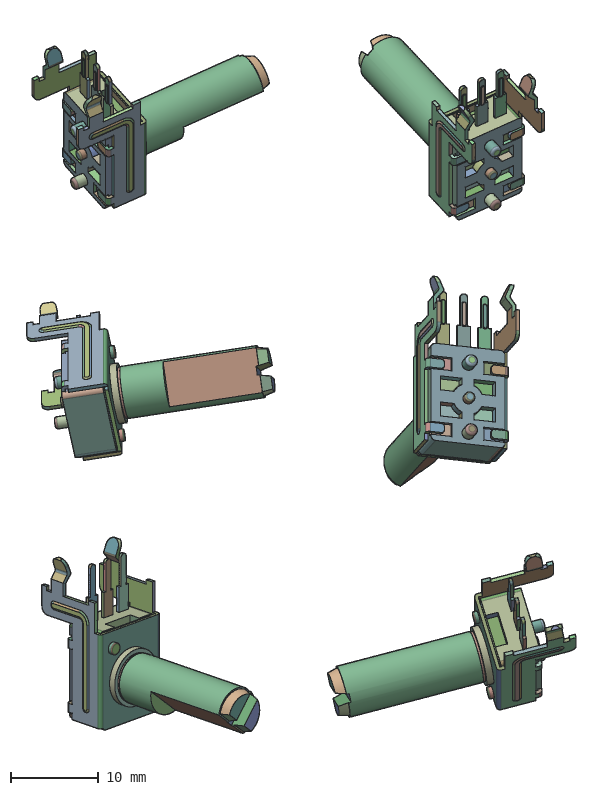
import cadquery as cq


SHEET = 0.45
BRACKET_HALF_WIDTH = 4.93
BRACKET_INNER_X = BRACKET_HALF_WIDTH - SHEET
PLATE_TOP = 6.27
PLATE_BOTTOM = -5.48
PLATE_CORNER = 0.27
SIDE_BOTTOM = PLATE_BOTTOM + PLATE_CORNER
SIDE_REAR_Y = -4.55
WING_FRONT_Y = -0.93
WING_REAR_Y = -9.35
WING_BOTTOM = 6.5
WING_SHOULDER = 9.45
WING_TOP = 9.97
WING_CORNER_RADIUS = 0.93
FRONT_LUG_LENGTH = 1.01
REAR_LUG_LENGTH = 0.75

LEG_WIDTH = 1.92
LEG_CENTER_Y = -6.9
LEG_TOP = 13.8
LEG_KINK_OUTSIDE = (4.22, 12.0)
LEG_KINK_INSIDE = (3.62, 11.92)
LEG_KINK_OUTSIDE_ROUND = 0.38
LEG_KINK_INSIDE_ROUND = 0.27
LEG_SIDE_PROFILE = [
    (BRACKET_HALF_WIDTH, WING_BOTTOM + WING_CORNER_RADIUS),
    (BRACKET_HALF_WIDTH, 11.07),
    LEG_KINK_OUTSIDE,
    (4.85, 13.65),
    (4.45, LEG_TOP),
    LEG_KINK_INSIDE,
    (BRACKET_INNER_X, 10.9),
    (BRACKET_INNER_X, WING_BOTTOM + WING_CORNER_RADIUS),
]

RIB_HEIGHT = 0.15
RIB_BASE_HALF_WIDTH = 0.52
RIB_CREST_HALF_WIDTH = 0.27
RIB_Y = -2.33
RIB_LOW_Z = -3.23
RIB_Z = 7.97
RIB_END_Y = -7.37
RIB_BEND_RADIUS = 1.0

BODY_HALF_WIDTH = 4.45
BODY_TOP = 6.33
BODY_BOTTOM = PLATE_BOTTOM
BODY_FRONT_Y = -0.6
BODY_REAR_Y = -5.4
BODY_CORNER_RADIUS = 0.58
SPACER_INSET = 0.1
SPACER_CORNER_RADIUS = 1.1
NOTCH_WIDTH = 4.05
NOTCH_LENGTH = 1.45
NOTCH_DEPTH = 1.1

TAB_HEIGHT = 1.1
TAB_INNER_X = 2.82
TAB_CORNER_RADIUS = 0.33
TAB_CENTERS_Z = (3.92, -3.9)
RECESS_HEIGHT = 1.55
RECESS_INNER_X = 1.9
RECESS_CENTERS_Z = (4.0, -4.0)

POCKET_INNER_X = 0.75
POCKET_OUTER_X = 3.25
POCKET_INNER_Z = 0.75
POCKET_OUTER_Z = 2.45
POCKET_DEPTH = 1.0
HUB_RADIUS = 1.84

LOCATING_PIN_Z = 4.2
LOCATING_PIN_RADIUS = 0.7
LOCATING_PIN_LENGTH = 1.55
LOCATING_PIN_ROUND = 0.33
CENTER_PIN_RADIUS = 0.6
CENTER_PIN_LENGTH = 0.85
CENTER_PIN_ROUND = 0.2
RIVET_X = 2.95
RIVET_Z = 4.22
RIVET_RADIUS = 0.7
RIVET_HEIGHT = 0.55
RIVET_ROUND = 0.1

TERMINAL_PITCH = 2.5
TERMINAL_FRONT_Y = -3.53
TERMINAL_THICKNESS = 0.38
TERMINAL_ROOT_WIDTH = 1.53
TERMINAL_TIP_WIDTH = 0.82
TERMINAL_SHOULDER_Z = 9.43
TERMINAL_TOP_Z = 13.3
TERMINAL_TIP_ROUND = 0.35
TERMINAL_BEAD_WIDTH = 0.52
TERMINAL_BEAD_BOTTOM = 9.32
TERMINAL_BEAD_TOP = 12.33
TERMINAL_BEAD_HEIGHT = 0.08
TERMINAL_BEAD_CHAMFER = 0.068

COLLAR_RADIUS = 3.45
COLLAR_LENGTH = 0.82
NECK_RADIUS = 2.95
SHAFT_RADIUS = 3.01
SHAFT_START_Y = 1.1
OVERALL_LENGTH = 27.4
SHAFT_TIP_Y = WING_REAR_Y + OVERALL_LENGTH
CONE_LENGTH = 1.18
CONE_BASE_RADIUS = 2.82
CONE_TIP_RADIUS = 2.52
FLAT_START_Y = 6.1
FLAT_DISTANCE = SHAFT_RADIUS / 2
SLOT_FLOOR_WIDTH = 1.0
SLOT_MOUTH_WIDTH = 1.6
SLOT_DEPTH = 1.48
FLAT_ANGLE = 50


def box(x_range, y_range, z_range):
    """Box between two limits on each axis."""
    (x0, x1), (y0, y1), (z0, z1) = x_range, y_range, z_range
    return cq.Workplane("XY").box(x1 - x0, y1 - y0, z1 - z0, centered=False).translate((x0, y0, z0))


def rod(radius, y_start, y_end, x=0, z=0):
    """Cylinder along Y."""
    disc = cq.Workplane("XZ", origin=(x, y_start, z)).circle(radius)
    return disc.extrude(y_start - y_end)


def both_sides(solid):
    """The +X solid together with its mirror image at -X."""
    return solid.union(solid.mirror("YZ"))


def bracket_shell():
    """Front plate with its two bent side sheets, each carrying a wing."""
    half_plate = (
        cq.Workplane("XZ")
        .moveTo(0, PLATE_BOTTOM)
        .lineTo(BRACKET_INNER_X - PLATE_CORNER, PLATE_BOTTOM)
        .lineTo(BRACKET_INNER_X, SIDE_BOTTOM)
        .lineTo(BRACKET_HALF_WIDTH, SIDE_BOTTOM)
        .lineTo(BRACKET_HALF_WIDTH, PLATE_TOP)
        .lineTo(0, PLATE_TOP)
        .close()
        .extrude(SHEET)
    )
    side = (
        cq.Workplane("YZ", origin=(BRACKET_INNER_X, 0, 0))
        .moveTo(0, SIDE_BOTTOM)
        .lineTo(0, PLATE_TOP)
        .lineTo(WING_FRONT_Y, PLATE_TOP)
        .lineTo(WING_FRONT_Y, WING_TOP)
        .lineTo(WING_FRONT_Y - FRONT_LUG_LENGTH, WING_TOP)
        .lineTo(WING_FRONT_Y - FRONT_LUG_LENGTH, WING_SHOULDER)
        .lineTo(WING_REAR_Y + REAR_LUG_LENGTH, WING_SHOULDER)
        .lineTo(WING_REAR_Y + REAR_LUG_LENGTH, WING_TOP)
        .lineTo(WING_REAR_Y, WING_TOP)
        .lineTo(WING_REAR_Y, WING_BOTTOM + WING_CORNER_RADIUS)
        .radiusArc((WING_REAR_Y + WING_CORNER_RADIUS, WING_BOTTOM), -WING_CORNER_RADIUS)
        .lineTo(SIDE_REAR_Y, WING_BOTTOM)
        .lineTo(SIDE_REAR_Y, SIDE_BOTTOM)
        .close()
        .extrude(SHEET)
    )
    bend_x = BRACKET_HALF_WIDTH - SHEET / 2
    bend_edge = cq.selectors.BoxSelector(
        (bend_x, -SHEET / 2, SIDE_BOTTOM), (bend_x + SHEET, SHEET / 2, PLATE_TOP)
    )
    half = half_plate.union(side).edges("|Z").edges(bend_edge).fillet(SHEET)
    return both_sides(half)


def snap_legs():
    """Kinked legs with rounded tips above the wings."""
    strip = (
        cq.Workplane("XZ", origin=(0, LEG_CENTER_Y + LEG_WIDTH / 2, 0))
        .polyline(LEG_SIDE_PROFILE)
        .close()
        .extrude(LEG_WIDTH)
    )
    for (x, z), radius in (
        (LEG_KINK_OUTSIDE, LEG_KINK_OUTSIDE_ROUND),
        (LEG_KINK_INSIDE, LEG_KINK_INSIDE_ROUND),
    ):
        kink_edge = cq.selectors.NearestToPointSelector((x, LEG_CENTER_Y, z))
        strip = strip.edges("|Y").edges(kink_edge).fillet(radius)
    half_width = LEG_WIDTH / 2
    rounded_outline = (
        cq.Workplane("YZ")
        .moveTo(LEG_CENTER_Y - half_width, 0)
        .lineTo(LEG_CENTER_Y - half_width, LEG_TOP - half_width)
        .threePointArc((LEG_CENTER_Y, LEG_TOP), (LEG_CENTER_Y + half_width, LEG_TOP - half_width))
        .lineTo(LEG_CENTER_Y + half_width, 0)
        .close()
        .extrude(BRACKET_HALF_WIDTH)
    )
    return both_sides(strip.intersect(rounded_outline))


def side_ribs():
    """Embossed L-shaped ribs with sloping flanks."""
    bend_y = RIB_Y - RIB_BEND_RADIUS
    bend_z = RIB_Z - RIB_BEND_RADIUS

    def outline(plane, half_width):
        outer = RIB_BEND_RADIUS + half_width
        inner = RIB_BEND_RADIUS - half_width
        return (
            plane.moveTo(RIB_Y + half_width, RIB_LOW_Z)
            .lineTo(RIB_Y + half_width, bend_z)
            .radiusArc((bend_y, RIB_Z + half_width), -outer)
            .lineTo(RIB_END_Y, RIB_Z + half_width)
            .threePointArc((RIB_END_Y - half_width, RIB_Z), (RIB_END_Y, RIB_Z - half_width))
            .lineTo(bend_y, RIB_Z - half_width)
            .radiusArc((RIB_Y - half_width, bend_z), inner)
            .lineTo(RIB_Y - half_width, RIB_LOW_Z)
            .threePointArc((RIB_Y, RIB_LOW_Z - half_width), (RIB_Y + half_width, RIB_LOW_Z))
            .close()
        )

    base = outline(cq.Workplane("YZ", origin=(BRACKET_HALF_WIDTH, 0, 0)), RIB_BASE_HALF_WIDTH)
    rib = outline(base.workplane(offset=RIB_HEIGHT), RIB_CREST_HALF_WIDTH).loft(ruled=True)
    return both_sides(rib)


def folded_tabs():
    """Tabs that leave the side sheets and fold inward over the rear of the body."""
    tabs = cq.Workplane("XY")
    for center_z in TAB_CENTERS_Z:
        z_range = (center_z - TAB_HEIGHT / 2, center_z + TAB_HEIGHT / 2)
        arm = box((BRACKET_INNER_X, BRACKET_HALF_WIDTH), (BODY_REAR_Y, SIDE_REAR_Y), z_range)
        fold = box((TAB_INNER_X, BRACKET_HALF_WIDTH), (BODY_REAR_Y, BODY_REAR_Y + SHEET), z_range)
        fold = fold.edges("|Y and <X").fillet(TAB_CORNER_RADIUS)
        tab = arm.union(fold).edges("|Z and >X and <Y").fillet(SHEET)
        tabs = tabs.union(tab)
    return both_sides(tabs)


def rear_pocket():
    """Pocket in the +X +Z quadrant, cut short by the round hub."""
    pocket = box(
        (POCKET_INNER_X, POCKET_OUTER_X),
        (BODY_REAR_Y, BODY_REAR_Y + POCKET_DEPTH),
        (POCKET_INNER_Z, POCKET_OUTER_Z),
    )
    return pocket.cut(rod(HUB_RADIUS, BODY_REAR_Y, BODY_REAR_Y + POCKET_DEPTH))


def body():
    """Moulded body with spacer step, top notch, tab recesses and rear pockets."""
    block = box(
        (-BODY_HALF_WIDTH, BODY_HALF_WIDTH), (BODY_REAR_Y, BODY_FRONT_Y), (BODY_BOTTOM, BODY_TOP)
    )
    block = block.edges("|Y").fillet(BODY_CORNER_RADIUS)
    notch = box(
        (-NOTCH_WIDTH / 2, NOTCH_WIDTH / 2),
        (BODY_FRONT_Y - NOTCH_LENGTH, BODY_FRONT_Y),
        (BODY_TOP - NOTCH_DEPTH, BODY_TOP),
    )
    recesses = cq.Workplane("XY")
    for center_z in RECESS_CENTERS_Z:
        recesses = recesses.union(box(
            (RECESS_INNER_X, BODY_HALF_WIDTH),
            (BODY_REAR_Y, BODY_REAR_Y + SHEET),
            (center_z - RECESS_HEIGHT / 2, center_z + RECESS_HEIGHT / 2),
        ))
    upper_pockets = both_sides(rear_pocket())
    block = block.cut(notch).cut(both_sides(recesses))
    block = block.cut(upper_pockets).cut(upper_pockets.mirror("XY"))

    spacer_half_width = BODY_HALF_WIDTH - SPACER_INSET
    spacer = box(
        (-spacer_half_width, spacer_half_width),
        (BODY_FRONT_Y, -SHEET),
        (BODY_BOTTOM + SPACER_INSET, BODY_TOP - SPACER_INSET),
    )
    spacer = spacer.edges("|Y").fillet(SPACER_CORNER_RADIUS)
    return block.union(spacer)


def rear_pins():
    """Two locating pins and the short centre pin, all with rounded tips."""
    pins = rod(CENTER_PIN_RADIUS, BODY_REAR_Y, BODY_REAR_Y - CENTER_PIN_LENGTH)
    pins = pins.faces("<Y").edges().fillet(CENTER_PIN_ROUND)
    for z in (LOCATING_PIN_Z, -LOCATING_PIN_Z):
        pin = rod(LOCATING_PIN_RADIUS, BODY_REAR_Y, BODY_REAR_Y - LOCATING_PIN_LENGTH, z=z)
        pins = pins.union(pin.faces("<Y").edges().fillet(LOCATING_PIN_ROUND))
    return pins


def rivet_heads():
    """Two diagonally placed rivet heads on the bracket plate."""
    heads = cq.Workplane("XY")
    for sign in (1, -1):
        head = rod(RIVET_RADIUS, 0, RIVET_HEIGHT, x=sign * RIVET_X, z=sign * RIVET_Z)
        heads = heads.union(head.faces(">Y").edges().fillet(RIVET_ROUND))
    return heads


def terminal():
    """Flat solder terminal with a narrow tip and a raised bead on its rear face."""
    rear_y = TERMINAL_FRONT_Y - TERMINAL_THICKNESS
    y_range = (rear_y, TERMINAL_FRONT_Y)
    root = box(
        (-TERMINAL_ROOT_WIDTH / 2, TERMINAL_ROOT_WIDTH / 2), y_range, (BODY_TOP, TERMINAL_SHOULDER_Z)
    )
    tip = box(
        (-TERMINAL_TIP_WIDTH / 2, TERMINAL_TIP_WIDTH / 2), y_range, (TERMINAL_SHOULDER_Z, TERMINAL_TOP_Z)
    )
    tip = tip.edges("|Y and >Z").fillet(TERMINAL_TIP_ROUND)
    bead = (
        cq.Workplane("XZ", origin=(0, rear_y, (TERMINAL_BEAD_BOTTOM + TERMINAL_BEAD_TOP) / 2))
        .slot2D(TERMINAL_BEAD_TOP - TERMINAL_BEAD_BOTTOM, TERMINAL_BEAD_WIDTH, 90)
        .extrude(TERMINAL_BEAD_HEIGHT)
        .faces("<Y")
        .chamfer(TERMINAL_BEAD_CHAMFER)
    )
    return root.union(tip).union(bead)


def shaft():
    """Collar, neck and D-shaped shaft with a tapered tip and a flared slot."""
    shoulder_y = SHAFT_TIP_Y - CONE_LENGTH
    turned = (
        cq.Workplane("XY")
        .moveTo(0, 0)
        .lineTo(COLLAR_RADIUS, 0)
        .lineTo(COLLAR_RADIUS, COLLAR_LENGTH)
        .lineTo(NECK_RADIUS, COLLAR_LENGTH)
        .lineTo(NECK_RADIUS, SHAFT_START_Y)
        .lineTo(SHAFT_RADIUS, SHAFT_START_Y)
        .lineTo(SHAFT_RADIUS, shoulder_y)
        .lineTo(CONE_BASE_RADIUS, shoulder_y)
        .lineTo(CONE_TIP_RADIUS, SHAFT_TIP_Y)
        .lineTo(0, SHAFT_TIP_Y)
        .close()
        .revolve(360, (0, 0, 0), (0, 1, 0))
    )
    flat = (
        cq.Workplane("XY", origin=(0, 0, -SHAFT_RADIUS))
        .moveTo(SHAFT_RADIUS, FLAT_START_Y)
        .lineTo(FLAT_DISTANCE, FLAT_START_Y)
        .lineTo(FLAT_DISTANCE, shoulder_y)
        .lineTo(FLAT_DISTANCE - (SHAFT_RADIUS - CONE_BASE_RADIUS), shoulder_y)
        .lineTo(FLAT_DISTANCE - (SHAFT_RADIUS - CONE_TIP_RADIUS), SHAFT_TIP_Y)
        .lineTo(SHAFT_RADIUS, SHAFT_TIP_Y)
        .close()
        .extrude(2 * SHAFT_RADIUS)
    )
    slot = (
        cq.Workplane("YZ", origin=(-SHAFT_RADIUS, 0, 0))
        .moveTo(SHAFT_TIP_Y - SLOT_DEPTH, -SLOT_FLOOR_WIDTH / 2)
        .lineTo(SHAFT_TIP_Y, -SLOT_MOUTH_WIDTH / 2)
        .lineTo(SHAFT_TIP_Y, SLOT_MOUTH_WIDTH / 2)
        .lineTo(SHAFT_TIP_Y - SLOT_DEPTH, SLOT_FLOOR_WIDTH / 2)
        .close()
        .extrude(2 * SHAFT_RADIUS)
    )
    cutter = flat.union(slot).rotate((0, 0, 0), (0, 1, 0), FLAT_ANGLE)
    return turned.cut(cutter)


result = bracket_shell().union(snap_legs()).union(side_ribs())
result = result.union(body()).union(folded_tabs())
result = result.union(rear_pins()).union(rivet_heads()).union(shaft())
for position in (-1, 0, 1):
    result = result.union(terminal().translate((position * TERMINAL_PITCH, 0, 0)))